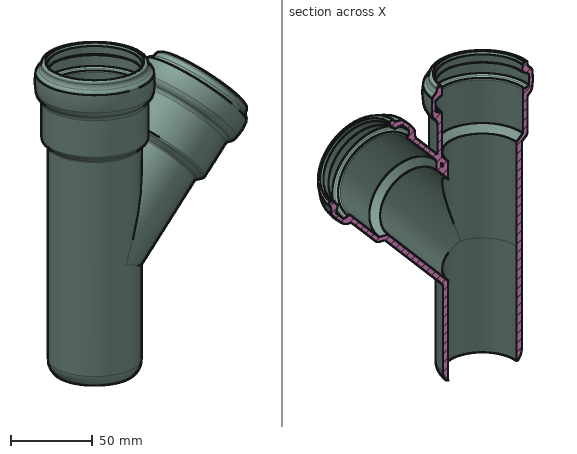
import cadquery as cq
import math

total_height = 205.5
pipe_radius = 29.0
bore_radius = 49.5 / 2
socket_radius = 66.0 / 2
socket_bore_radius = 29.5
bead_radius = 37.2
ring_groove_radius = 67.6 / 2
junction_height = 79.2
branch_angle = 45.0
spigot_round_height = 7.5
spigot_round_depth = 3.0
spigot_round_point = (28.0, 2.9)

arm_length = total_height - junction_height

lip_outer_radius = 33.0
lip_inner_diameter = 58.5
lip_inner_radius = lip_inner_diameter / 2
lip_round = (lip_outer_radius - lip_inner_radius) / 2
lip_middle_radius = (lip_outer_radius + lip_inner_radius) / 2
lip_edge_radius = 30.5
lip_edge_drop = lip_round - math.sqrt(lip_round**2 - (lip_middle_radius - lip_edge_radius) ** 2)
lip_flare = (33.5, 3.7)
lip_neck_radius = 34.5
lip_neck_drop = 5.1
bead_shoulder = (35.8, 6.2)
bead_edge_radius = 36.5
bead_top_drop = 7.6
bead_bottom_drop = 19.3
bead_under = (35.8, 21.5)
bead_neck_radius = 34.1
bead_neck_drop = 23.5
bead_foot_drop = 26.1
shoulder_top_drop = 50.4
shoulder_round_radius = 32.3
shoulder_round_drop = 51.8
shoulder_foot_radius = 29.5
shoulder_foot_drop = 54.7
socket_end_drop = 55.7

groove_top_drop = 7.2
groove_crest_top_drop = 9.9
groove_crest_bottom_drop = 17.0
groove_floor_radius = 32.5
groove_floor_drop = 18.0
ledge_radius = 30.6
ledge_drop = 18.7
groove_bottom_drop = 19.5
bore_step_top_drop = 49.3
bore_step_end_drop = 54.3


def socket_arm_outside():
    """Outer solid of one arm, standing on the axis crossing along +Z."""

    def at(radius, drop):
        return (radius, arm_length - drop)

    bead_middle_drop = (bead_top_drop + bead_bottom_drop) / 2
    return (
        cq.Workplane("XZ")
        .lineTo(pipe_radius, 0)
        .lineTo(*at(pipe_radius, socket_end_drop))
        .tangentArcPoint(at(shoulder_foot_radius, shoulder_foot_drop), relative=False)
        .lineTo(*at(shoulder_round_radius, shoulder_round_drop))
        .tangentArcPoint(at(socket_radius, shoulder_top_drop), relative=False)
        .lineTo(*at(socket_radius, bead_foot_drop))
        .tangentArcPoint(at(bead_neck_radius, bead_neck_drop), relative=False)
        .threePointArc(at(*bead_under), at(bead_edge_radius, bead_bottom_drop))
        .threePointArc(at(bead_radius, bead_middle_drop), at(bead_edge_radius, bead_top_drop))
        .threePointArc(at(*bead_shoulder), at(lip_neck_radius, lip_neck_drop))
        .threePointArc(at(*lip_flare), at(lip_outer_radius, lip_round))
        .threePointArc(at(lip_middle_radius, 0), at(lip_edge_radius, lip_edge_drop))
        .lineTo(*at(lip_inner_radius, lip_round))
        .lineTo(*at(0, lip_round))
        .close()
        .revolve(360, (0, 0, 0), (0, 1, 0))
    )


def socket_arm_inside():
    """Hollow of one arm: pipe bore, socket bore, sealing ring groove and mouth."""

    def at(radius, drop):
        return (radius, arm_length - drop)

    return (
        cq.Workplane("XZ")
        .lineTo(bore_radius, 0)
        .lineTo(*at(bore_radius, bore_step_end_drop))
        .lineTo(*at(socket_bore_radius, bore_step_top_drop))
        .lineTo(*at(socket_bore_radius, groove_bottom_drop))
        .tangentArcPoint(at(ledge_radius, ledge_drop), relative=False)
        .lineTo(*at(groove_floor_radius, groove_floor_drop))
        .tangentArcPoint(at(ring_groove_radius, groove_crest_bottom_drop), relative=False)
        .lineTo(*at(ring_groove_radius, groove_crest_top_drop))
        .lineTo(*at(lip_inner_radius, groove_top_drop))
        .lineTo(*at(lip_inner_radius, 0))
        .lineTo(*at(0, 0))
        .close()
        .revolve(360, (0, 0, 0), (0, 1, 0))
    )


def as_run(arm):
    """Stand an arm upright above the axis crossing."""
    return arm.translate((0, 0, junction_height))


def as_branch(arm):
    """Lean an arm toward +Y from the axis crossing."""
    leaned = arm.rotate((0, 0, 0), (1, 0, 0), -branch_angle)
    return leaned.translate((0, 0, junction_height))


def spigot_outside():
    """Plain lower pipe whose insertion end is rounded inward."""
    return (
        cq.Workplane("XZ")
        .lineTo(pipe_radius - spigot_round_depth, 0)
        .threePointArc(spigot_round_point, (pipe_radius, spigot_round_height))
        .lineTo(pipe_radius, junction_height)
        .lineTo(0, junction_height)
        .close()
        .revolve(360, (0, 0, 0), (0, 1, 0))
    )


outside = spigot_outside().union(as_run(socket_arm_outside())).union(as_branch(socket_arm_outside()))
spigot_bore = cq.Workplane("XY").circle(bore_radius).extrude(junction_height)

result = outside.cut(spigot_bore).cut(as_run(socket_arm_inside())).cut(as_branch(socket_arm_inside()))